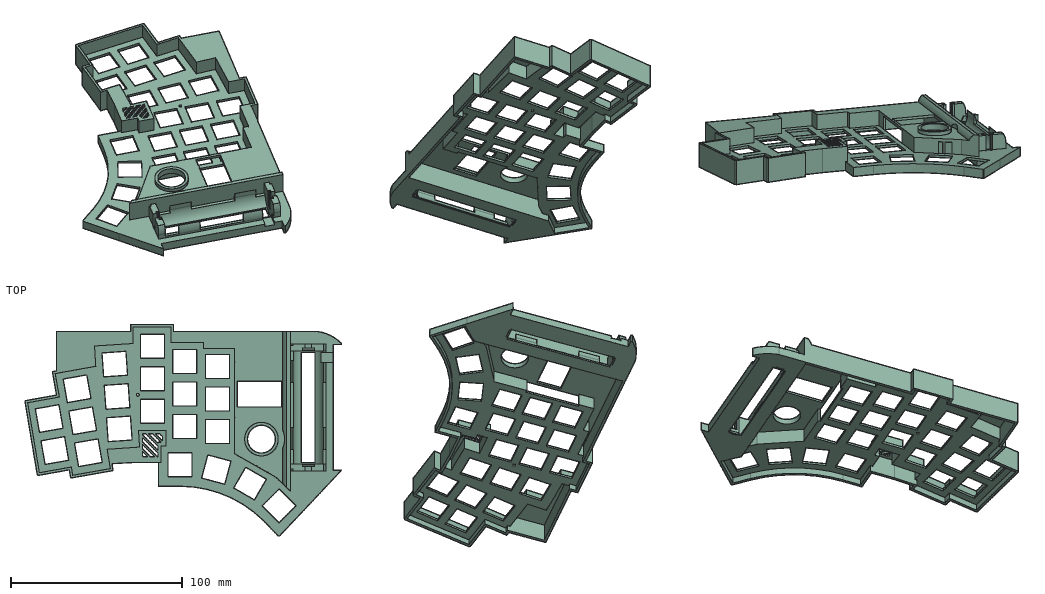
import cadquery as cq
import math

wall = 1.5
shelf_top = 5.5
deck_top = 14.5
rail_top = 18.5
clear_top = rail_top + 1.8
plate_bottom = shelf_top - wall
deck_bottom = deck_top - wall

key_hole = 13.8
key_pitch = 18.88
key_reach = 11.0
key_columns = [
    (14.2, 68.3, 10, 2),
    (30.4, 85.7, 10, 3),
    (52.3, 100.0, 4, 3),
    (74.2, 110.4, 0, 3),
    (93.0, 101.5, 0, 3),
    (112.0, 98.5, 0, 3),
]

thumb_x, thumb_y = 90.3, 41.5
thumb_radius = 81.5
thumb_step = 15
thumb_count = 4
thumb_centre_y = thumb_y - thumb_radius
shelf_radius = thumb_radius - key_reach - wall
shelf_left = thumb_x - key_reach - wall
shelf_front = thumb_centre_y + shelf_radius

deck_left, deck_back = 18.5, 119.0
deck_inner_x = 122.0
rail_right = 154.4
front_block_y = 42.7
deck_corner = (deck_inner_x, 47.9)
deck_bend = (146.3, 34.0)
deck_tip = (rail_right, 26.2)
shelf_tip_left, shelf_tip_right = (147.4, 0), (148.1, 0)
shelf_side = (164.1, 17.0)

battery_x, battery_z = 164.9, 9.0
battery_radius = 8.8
side_top = 6.8
holder_radius = battery_radius + wall
holder_back, holder_front = 111.6, 38.0
holder_end = 4.0
side_x = 179.5
hook_back_y, hook_front_y = 111.3, 38.3
part_right = 184.2


def prism(points, bottom, top):
    return cq.Workplane("XY", origin=(0, 0, bottom)).polyline(points).close().extrude(top - bottom)


def block(x_range, y_range, z_range):
    corner = (x_range[0], y_range[0], z_range[0])
    size = (x_range[1] - x_range[0], y_range[1] - y_range[0], z_range[1] - z_range[0])
    return cq.Workplane("XY").box(*size, centered=False).translate(corner)


def grown(points, distance, bottom, top):
    outline = cq.Workplane("XY", origin=(0, 0, bottom)).polyline(points).close()
    return outline.offset2D(distance, "intersection").extrude(top - bottom)


well_points = [
    (63.0, 121.5), (85.1, 121.5), (85.1, 112.5), (103.9, 112.5), (103.9, 109.0), (deck_inner_x, 109.0),
    deck_corner, (thumb_x - key_reach, 38.7), (thumb_x - key_reach, 52.5),
    (82.2, 52.5), (82.2, 61.5), (66.1, 61.5), (66.7, 51.8), (47.9, 50.5), (49.7, 39.2),
    (27.8, 35.4), (27.0, 40.2), (8.5, 36.8), (1.7, 77.5), (20.0, 80.9), (17.7, 94.5),
    (41.3, 98.7), (40.5, 110.5), (63.0, 112.0),
]

blunt_corners = [(0.0, 79.0), (7.4, 35.0), (26.7, 33.7)]
corner_flat = 0.5


def thumb_arc_point(angle):
    turn = math.radians(angle)
    return (thumb_x + shelf_radius * math.sin(turn), thumb_centre_y + shelf_radius * math.cos(turn))


def thumb_shelf(top):
    arc_angle = thumb_step * (thumb_count - 1)
    return (
        cq.Workplane("XY")
        .moveTo(shelf_left, shelf_front)
        .lineTo(*thumb_arc_point(0))
        .threePointArc(thumb_arc_point(arc_angle / 2), thumb_arc_point(arc_angle))
        .lineTo(*shelf_tip_left)
        .lineTo(*shelf_tip_right)
        .lineTo(*shelf_side)
        .lineTo(*deck_tip)
        .lineTo(*deck_bend)
        .lineTo(*deck_corner)
        .lineTo(shelf_left, deck_corner[1])
        .close()
        .extrude(top)
    )


def main_body(top):
    deck = prism(
        [(deck_left, deck_back), (rail_right, deck_back), deck_tip, deck_bend, deck_corner,
         (110.5, 92.1), (55.3, 92.1), (deck_left, 88.5)],
        0, top,
    )
    front_block = prism(
        [(47.9, 55.3), (50.1, 42.0), (63.7, front_block_y), (shelf_left + wall, front_block_y),
         (shelf_left + wall, 52.5), (82.2, 52.5), (82.2, 64.5), (66.3, 64.5)],
        0, top,
    )
    rim = grown(well_points, wall, 0, top)
    for corner in blunt_corners:
        rim = rim.edges(cq.selectors.NearestToPointSelector((*corner, top / 2))).chamfer(corner_flat)
    body = rim.union(deck).union(front_block)
    return body.union(thumb_shelf(min(top, shelf_top))).clean()


def open_region(bottom):
    """Everything above the key plate and shelf that is not under the deck."""
    beyond = 9.2
    shelf = prism(
        [deck_corner, deck_bend, deck_tip, (rail_right, deck_back + beyond),
         (part_right + beyond, deck_back + beyond), (part_right + beyond, -beyond),
         (shelf_left - wall, -beyond), (shelf_left - wall, front_block_y),
         (thumb_x - key_reach, front_block_y), (thumb_x - key_reach, deck_corner[1])],
        bottom, clear_top,
    )
    return shelf.union(prism(well_points, bottom, clear_top))


def deck_walls():
    """The well outline and deck edge grown by a wall; the hollow under the deck stops here."""
    edge = [deck_corner, deck_bend, deck_tip, (rail_right, deck_back), (part_right, deck_back),
            (part_right, 0), (thumb_x - key_reach, 0), (thumb_x - key_reach, deck_corner[1])]
    return grown(well_points, wall, plate_bottom, clear_top).union(
        grown(edge, wall, plate_bottom, clear_top)
    )


def hollow():
    base = main_body(shelf_top).faces("<Z").wires().toPending()
    inner = cq.Workplane("XY").add(base.ctx.pendingWires).toPending().offset2D(-wall, "intersection")
    return inner.extrude(deck_bottom).cut(deck_walls())


rail_foot_x, rail_crest_x = 149.8, 152.2
rail_bulge = (150.7, 16.8)


def rail():
    profile = (
        cq.Workplane("XZ", origin=(0, deck_back, 0))
        .moveTo(rail_foot_x, deck_bottom)
        .lineTo(rail_foot_x, deck_top)
        .threePointArc(rail_bulge, (rail_crest_x, rail_top))
        .lineTo(rail_right, rail_top)
        .lineTo(rail_right, deck_bottom)
        .close()
    )
    return profile.extrude(deck_back - deck_tip[1] + key_reach)


ring_x, ring_y, ring_top = 137.6, 56.4, 16.8
ring_outer, ring_hole = 19.5, 16.0
ring_clearance = 26.9


def ring_cylinder(diameter, bottom, top):
    plane = cq.Workplane("XY", origin=(ring_x, ring_y, bottom))
    return plane.circle(diameter / 2).extrude(top - bottom)


shell = main_body(deck_top).cut(hollow())
shell = shell.union(rail()).cut(open_region(shelf_top))
shell = shell.cut(ring_cylinder(ring_clearance, deck_top, clear_top))
shell = shell.union(ring_cylinder(ring_outer, deck_bottom, ring_top))
shell = shell.cut(ring_cylinder(ring_hole, 0, clear_top))
shell = shell.cut(block((123.6, 149.5), (75.2, 89.9), (0, deck_top)))
shell = shell.cut(block((deck_inner_x, deck_inner_x + wall), (69.0, 101.3), (plate_bottom, deck_bottom)))

recess_top, recess_depth = 12.5, 0.5
slant = math.atan2(deck_corner[1] - deck_bend[1], deck_bend[0] - deck_corner[0])
for start_x, end_x in [(134.5, 136.7), (137.8, 141.5)]:
    middle_x = (start_x + end_x) / 2
    middle_y = deck_corner[1] - (middle_x - deck_corner[0]) * math.tan(slant)
    width = (end_x - start_x) / math.cos(slant)
    recess = block((-width / 2, width / 2), (-recess_depth, recess_depth), (shelf_top, recess_top))
    recess = recess.rotate((0, 0, 0), (0, 0, 1), -math.degrees(slant))
    shell = shell.cut(recess.translate((middle_x, middle_y, 0)))


grille_slot, grille_pitch, grille_count = 1.7, 4.0, 6
grille_length = 36.8
grille_first = 116.5


def grille_slots():
    window = prism(
        [(68.5, 59.5), (80.0, 59.5), (80.0, 54.7), (77.4, 54.7), (77.4, 46.2), (68.5, 46.2)],
        0, clear_top,
    )
    slots = []
    for index in range(grille_count):
        middle = (grille_first + index * grille_pitch) / 2
        slot = cq.Workplane("XY").box(grille_length, grille_slot, 2 * clear_top)
        slot = slot.rotate((0, 0, 0), (0, 0, 1), -45).translate((middle + 9.2, middle - 9.2, 0))
        slots.append(slot.intersect(window))
    return slots


for slot in grille_slots():
    shell = shell.cut(slot)


def key_cutter(x, y, tilt):
    hole = cq.Workplane("XY").rect(key_hole, key_hole).extrude(shelf_top)
    return hole.rotate((0, 0, 0), (0, 0, 1), tilt).translate((x, y, 0))


for top_x, top_y, tilt, count in key_columns:
    lean = math.radians(tilt)
    for row in range(count):
        along = row * key_pitch
        shell = shell.cut(key_cutter(top_x + along * math.sin(lean), top_y - along * math.cos(lean), tilt))

for index in range(thumb_count):
    angle = index * thumb_step
    turn = math.radians(angle)
    x = thumb_x + thumb_radius * math.sin(turn)
    y = thumb_centre_y + thumb_radius * math.cos(turn)
    shell = shell.cut(key_cutter(x, y, -angle))

shell = shell.cut(cq.Workplane("XY").center(65.8, 82.2).circle(0.7).extrude(shelf_top))


def battery_cylinder(radius, front, back, axis_z):
    plane = cq.Workplane("XZ", origin=(battery_x, back, axis_z))
    return plane.circle(radius).extrude(back - front)


def battery_base():
    return (
        cq.Workplane("XY")
        .moveTo(rail_right, deck_back)
        .lineTo(170.5, deck_back)
        .threePointArc((178.0, 116.6), (part_right - 0.2, 112.2))
        .lineTo(part_right - 0.2, hook_back_y)
        .lineTo(side_x, hook_back_y)
        .lineTo(side_x, hook_front_y)
        .lineTo(part_right, hook_front_y)
        .lineTo(*shelf_side)
        .lineTo(*deck_tip)
        .close()
        .extrude(shelf_top)
    )


bay_front, bay_back = holder_front + holder_end, holder_back - holder_end
holder_left, holder_right = rail_right, battery_x + holder_radius


def crowned(left, front, back, axis_z):
    """Section of the holder with a right flank, and a left one if it reaches there, rounded about axis_z."""
    crown = battery_cylinder(holder_radius, front, back, axis_z)
    return crown.intersect(block((left, holder_right), (front, back), (axis_z, deck_top)))


def end_block(front, back):
    """End of the holder: square beside the rail, rounded on the right."""
    square = block((holder_left, battery_x), (front, back), (0, deck_top))
    lower = block((battery_x, holder_right), (front, back), (0, battery_z))
    return square.union(lower).union(crowned(battery_x, front, back, battery_z))


clip_ranges = [(50.3, 63.2), (89.4, 102.0)]
right_clip_stop = 101.0
contact_slot, contact_plate = 3.9, 7.0
contact_floor, plate_floor = 5.0, 3.0
bevel, bevel_depth = 1.5, 1.0


def battery_holder():
    holder = battery_base().union(
        block((holder_left, holder_right), (bay_front, bay_back), (0, side_top))
    )
    for front, back in clip_ranges:
        holder = holder.union(crowned(holder_left, front, back, side_top))
    for front, back in [(holder_front, bay_front), (bay_back, holder_back)]:
        holder = holder.union(end_block(front, back))
    holder = holder.cut(battery_cylinder(battery_radius, bay_front, bay_back, battery_z))
    holder = holder.cut(
        block((battery_x - battery_radius, battery_x + battery_radius), (bay_front, bay_back),
              (battery_z, clear_top))
    )
    holder = holder.cut(block((160.8, 168.8), (bay_front + 1.0, bay_back - 1.0), (0, battery_z)))
    half = contact_slot / 2
    holder = holder.cut(
        block((battery_x - half, battery_x + half), (holder_front, holder_back), (contact_floor, clear_top))
    )
    half = contact_plate / 2
    for near in (bay_front - 1.7, bay_back + 0.5):
        holder = holder.cut(
            block((battery_x - half, battery_x + half), (near, near + 1.1), (plate_floor, clear_top))
        )
    for front in (holder_front, holder_back - bevel_depth):
        corner_cut = (
            cq.Workplane("XZ", origin=(holder_left, front + bevel_depth, deck_top))
            .polyline([(0, 0), (bevel, 0), (0, -bevel)])
            .close()
            .extrude(bevel_depth)
        )
        holder = holder.cut(corner_cut)
    return holder.cut(block((172.3, side_x), (right_clip_stop, 106.9), (3.7, deck_top)))


result = shell.union(battery_holder()).clean()